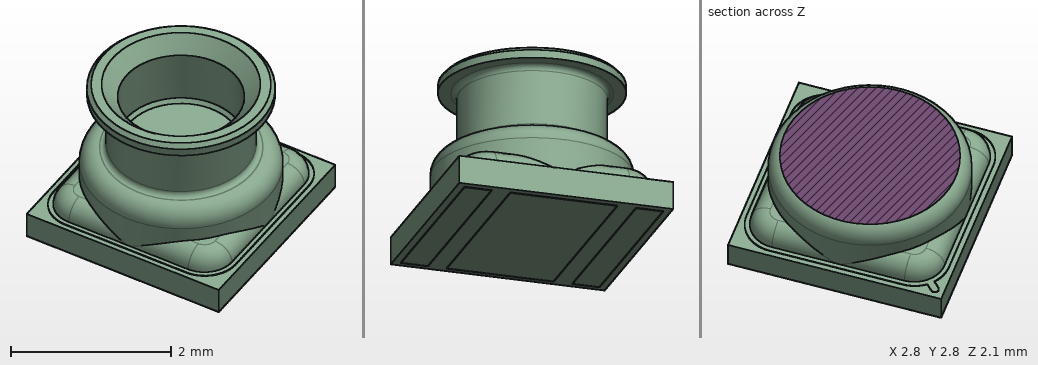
import cadquery as cq
import math

base_side = 2.8
total_height = 2.1
pad_thickness = 0.01
base_top = 0.375
pad_span = 2.6
center_pad_width = 1.4
edge_pad_width = 0.355

layer_side = 2.66
layer_corner_radius = 0.45
layer_thickness = 0.01
tab_width = 0.1
tab_reach = 1.855
tab_angle = 135

pedestal_side = 2.54
pedestal_corner_radius = 0.4
pedestal_round = 0.25

body_radius = pedestal_side / 2
body_top = 1.075
body_round = 0.25
neck_radius = 1.88 / 2
neck_fillet = 0.075
flange_radius = 2.35 / 2
flange_bottom = 1.94
flange_chamfer = 0.055

bore_radius = 1.58 / 2
mouth_chamfer = 0.2
floor_chamfer = 0.05
bore_floor = 1.15


def make_base():
    thickness = base_top - pad_thickness
    return (
        cq.Workplane("XY")
        .workplane(offset=pad_thickness)
        .rect(base_side, base_side)
        .extrude(thickness)
    )


def make_pads():
    """Three strips along X: a wide middle one and one near each Y edge."""
    edge_offset = (pad_span - edge_pad_width) / 2
    pads = cq.Workplane("XY").rect(pad_span, center_pad_width).extrude(pad_thickness)
    for side in (-1, 1):
        strip = (
            cq.Workplane("XY")
            .center(0, side * edge_offset)
            .rect(pad_span, edge_pad_width)
            .extrude(pad_thickness)
        )
        pads = pads.union(strip)
    return pads


def rounded_square(side, corner_radius, bottom, height):
    return (
        cq.Workplane("XY")
        .workplane(offset=bottom)
        .rect(side, side)
        .extrude(height)
        .edges("|Z")
        .fillet(corner_radius)
    )


def make_layer():
    """Raised layer with a round-ended tab running out along the corner diagonal."""
    layer = rounded_square(layer_side, layer_corner_radius, base_top, layer_thickness)
    tab_center = tab_reach / 2
    direction = math.radians(tab_angle)
    tab = (
        cq.Workplane("XY")
        .workplane(offset=base_top)
        .center(tab_center * math.cos(direction), tab_center * math.sin(direction))
        .slot2D(tab_reach, tab_width, tab_angle)
        .extrude(layer_thickness)
    )
    return layer.union(tab)


def make_pedestal():
    """Pedestal rooted at the base underside, so its round ends at the base top."""
    height = base_top + pedestal_round - pad_thickness
    pedestal = rounded_square(pedestal_side, pedestal_corner_radius, pad_thickness, height)
    return pedestal.faces(">Z").edges().fillet(pedestal_round)


def make_barrel():
    """Revolved outer shape; a narrow flat shoulder separates body round and neck fillet."""
    diagonal = math.sqrt(0.5)
    round_center_r = body_radius - body_round
    round_center_z = body_top - body_round
    fillet_center_r = neck_radius + neck_fillet
    lower_fillet_z = body_top + neck_fillet
    upper_fillet_z = flange_bottom - neck_fillet
    fillet_mid_r = fillet_center_r - neck_fillet * diagonal
    return (
        cq.Workplane("XZ")
        .moveTo(0, pad_thickness)
        .lineTo(body_radius, pad_thickness)
        .lineTo(body_radius, round_center_z)
        .threePointArc(
            (round_center_r + body_round * diagonal, round_center_z + body_round * diagonal),
            (round_center_r, body_top),
        )
        .lineTo(fillet_center_r, body_top)
        .threePointArc(
            (fillet_mid_r, lower_fillet_z - neck_fillet * diagonal),
            (neck_radius, lower_fillet_z),
        )
        .lineTo(neck_radius, upper_fillet_z)
        .threePointArc(
            (fillet_mid_r, upper_fillet_z + neck_fillet * diagonal),
            (fillet_center_r, flange_bottom),
        )
        .lineTo(flange_radius, flange_bottom)
        .lineTo(flange_radius, total_height - flange_chamfer)
        .lineTo(flange_radius - flange_chamfer, total_height)
        .lineTo(0, total_height)
        .close()
        .revolve(360, (0, 0, 0), (0, 1, 0))
    )


def make_bore():
    """Cutter for the bore: conical mouth, straight wall, chamfered floor."""
    return (
        cq.Workplane("XZ")
        .moveTo(0, bore_floor)
        .lineTo(bore_radius - floor_chamfer, bore_floor)
        .lineTo(bore_radius, bore_floor + floor_chamfer)
        .lineTo(bore_radius, total_height - mouth_chamfer)
        .lineTo(bore_radius + mouth_chamfer, total_height)
        .lineTo(0, total_height)
        .close()
        .revolve(360, (0, 0, 0), (0, 1, 0))
    )


result = (
    make_base()
    .union(make_pads())
    .union(make_layer())
    .union(make_pedestal())
    .union(make_barrel())
    .cut(make_bore())
)